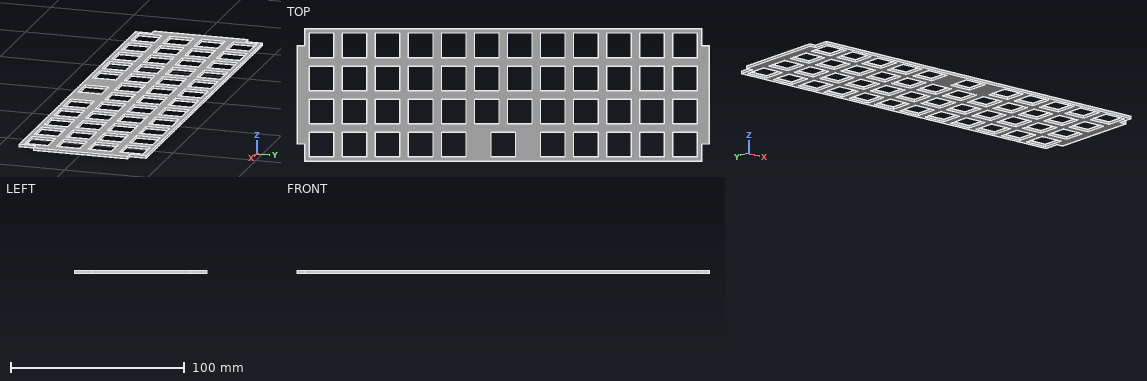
import cadquery as cq

overall_length = 237.5
plate_depth = 76.5
thickness = 1.52

tab_reach = 4.3
tab_depth = 56.8
body_length = overall_length - 2 * tab_reach

columns = 12
rows = 4
opening_size = 14.0
first_to_last_column = 209.5
pitch = first_to_last_column / (columns - 1)

middle_columns = (columns // 2 - 1, columns // 2)


def centred_position(index, count):
    """Coordinate of one grid line when the grid is centred on the origin."""
    return (index - (count - 1) / 2) * pitch


def opening_centres():
    """Centres of all switch openings, with row 0 at the front (-Y)."""
    centres = [(0, centred_position(0, rows))]
    for row in range(rows):
        for column in range(columns):
            if row == 0 and column in middle_columns:
                continue
            centres.append((centred_position(column, columns), centred_position(row, rows)))
    return centres


def make_blank():
    """Solid plate: the main body crossed by the strip that forms both tabs."""
    body = cq.Workplane("XY").box(body_length, plate_depth, thickness)
    tab_strip = cq.Workplane("XY").box(overall_length, tab_depth, thickness)
    return body.union(tab_strip)


def make_openings():
    """Square cutters that pass through the full thickness."""
    return (
        cq.Workplane("XY")
        .pushPoints(opening_centres())
        .rect(opening_size, opening_size)
        .extrude(thickness, both=True)
    )


result = make_blank().cut(make_openings())